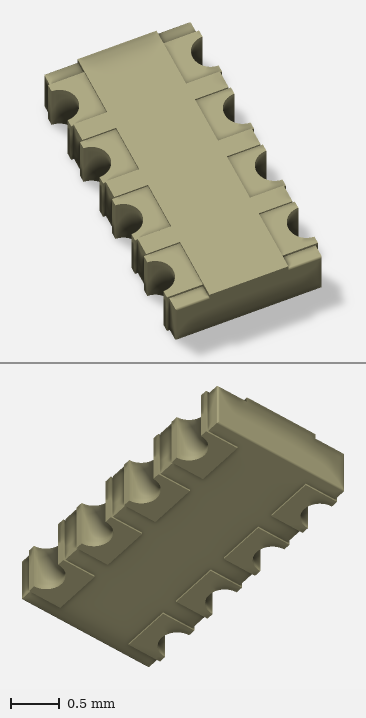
import cadquery as cq

length = 3.3
overall_width = 1.7
overall_height = 0.6

terminal_wall = 0.025
bottom_thickness = 0.02
cover_thickness = 0.05
end_fillet = 0.02
body_width = overall_width - 2 * terminal_wall
body_top = overall_height - cover_thickness

terminals_per_side = 4
terminal_pitch = 0.8
terminal_width = 0.578
terminal_depth = 0.405
terminal_recess = 0.02
castellation_radius = 0.2
terminal_top = overall_height - terminal_recess
terminal_inner_y = overall_width / 2 - terminal_depth

row_span = terminal_pitch * (terminals_per_side - 1)
terminal_xs = [i * terminal_pitch - row_span / 2 for i in range(terminals_per_side)]


def block(x_size, y_size, bottom, top):
    """Box centred on the Z axis between two heights."""
    box = cq.Workplane("XY").box(x_size, y_size, top - bottom, centered=(True, True, False))
    return box.translate((0, 0, bottom))


def make_body():
    """Ceramic block with the edges of both end faces rounded."""
    body = block(length, body_width, bottom_thickness, body_top)
    return body.faces("<X or >X").edges().fillet(end_fillet)


def make_cover():
    """Full-length centre strip with tabs that fill the gaps between the terminals."""
    strip = block(length, 2 * terminal_inner_y, body_top, overall_height)
    tabs = block(row_span, body_width, body_top, overall_height)
    return strip.union(tabs)


def make_end_fill():
    """Core that carries the centre strip square down to the end faces."""
    return block(length, 2 * terminal_inner_y, body_top - end_fillet, body_top)


def terminal_block(x, side, bottom, top):
    """Block over one terminal's footprint, on the +Y (side = 1) or -Y (side = -1) side."""
    y = side * (overall_width - terminal_depth) / 2
    return block(terminal_width, terminal_depth, bottom, top).translate((x, y, 0))


def make_castellation(x, side):
    """Full-height round notch centred on the outer face of a terminal."""
    notch = cq.Workplane("XY").circle(castellation_radius).extrude(overall_height)
    return notch.translate((x, side * overall_width / 2, 0))


result = make_body().union(make_cover()).union(make_end_fill())
for side in (-1, 1):
    for x in terminal_xs:
        open_space = terminal_block(x, side, terminal_top, overall_height)
        result = result.union(terminal_block(x, side, 0, terminal_top))
        result = result.cut(open_space)
        result = result.cut(make_castellation(x, side))
result = result.clean()